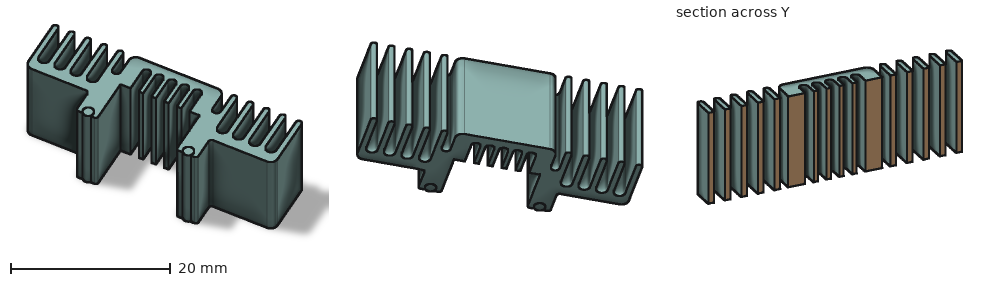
import cadquery as cq
import math

width = 35.2
height = 12.7
depth = 11.6

fin_count = 5
fin_width = 0.8
fin_gap = 1.48
fin_pitch = fin_width + fin_gap
fin_gap_depth = 6.37
wing_depth = 7.9
corner_radius = 1.0

bridge_slot_width = 1.13
bridge_slot_depth = 3.75

inner_slot_count = 5
inner_slot_width = 1.15
inner_slot_pitch = 1.8
inner_slot_top_depth = 1.23
ceiling_depth = 5.0

leg_width = 3.0
leg_depth = 11.4
leg_corner_radius = 0.4
leg_root_radius = 0.4
pin_diameter = 1.45
groove_lip_radius = 0.07

half_width = width / 2
fin_radius = fin_width / 2
fin_tip_y = -fin_radius
fin_centers = [half_width - fin_radius - i * fin_pitch for i in range(fin_count)]
gap_centers = [x - fin_pitch / 2 for x in fin_centers[:-1]]
bridge_slot_outer_x = fin_centers[-1] - fin_radius
leg_x = bridge_slot_outer_x - bridge_slot_width / 2
leg_outer_x = leg_x + leg_width / 2
leg_inner_x = leg_x - leg_width / 2
bridge_half_width = bridge_slot_outer_x - bridge_slot_width
pin_radius = pin_diameter / 2
pin_y = pin_radius - depth
groove_half_mouth = math.sqrt(pin_radius**2 - (leg_depth + pin_y) ** 2)
sides = (-1, 1)


def block(x_min, x_max, y_min, y_max):
    """Full-height block between two X and two Y planes."""
    return (
        cq.Workplane("XY")
        .center((x_min + x_max) / 2, (y_min + y_max) / 2)
        .rect(x_max - x_min, y_max - y_min)
        .extrude(height)
    )


def rod(x, y, radius):
    """Full-height round rod."""
    return cq.Workplane("XY").center(x, y).circle(radius).extrude(height)


def round_slot(x, slot_width, floor_y, mouth_y):
    """Cutter for a slot with a round floor, open at mouth_y."""
    radius = slot_width / 2
    center_y = floor_y + radius if mouth_y > floor_y else floor_y - radius
    channel = block(x - radius, x + radius, min(center_y, mouth_y), max(center_y, mouth_y))
    return channel.union(rod(x, center_y, radius))


def round_edges(body, points, radius):
    """Fillet the upright edges that stand at the given XY points."""
    for side in sides:
        for x, y in points:
            nearest = cq.selectors.NearestToPointSelector((side * x, y, height / 2))
            body = body.edges("|Z").edges(nearest).fillet(radius)
    return body


def make_blank():
    """Wings, bridge and legs with rounded corners, before any slot is cut."""
    blank = block(-half_width, half_width, -wing_depth, fin_tip_y)
    blank = blank.union(block(-bridge_half_width, bridge_half_width, -ceiling_depth, 0))
    blank = blank.union(block(-leg_outer_x, leg_outer_x, -leg_depth, -ceiling_depth))
    blank = blank.cut(block(-leg_inner_x, leg_inner_x, -leg_depth, -ceiling_depth))
    blank = round_edges(blank, [(half_width, -wing_depth)], corner_radius)
    blank = round_edges(blank, [(leg_outer_x, -wing_depth)], leg_root_radius)
    leg_corners = [(leg_outer_x, -leg_depth), (leg_inner_x, -leg_depth)]
    return round_edges(blank, leg_corners, leg_corner_radius)


def make_heat_sink():
    """Finned heat sink with a round-lipped groove for a pin in the end of each leg."""
    body = make_blank()
    for side in sides:
        for x in gap_centers:
            body = body.cut(round_slot(side * x, fin_gap, -fin_gap_depth, 0))
        body = body.cut(round_slot(side * leg_x, bridge_slot_width, -bridge_slot_depth, 0))
        for x in fin_centers:
            body = body.union(rod(side * x, fin_tip_y, fin_radius))
        body = body.cut(rod(side * leg_x, pin_y, pin_radius))
    groove_lips = [(leg_x + offset * groove_half_mouth, -leg_depth) for offset in sides]
    body = round_edges(body, groove_lips, groove_lip_radius)
    body = round_edges(body, [(bridge_half_width, 0)], corner_radius)
    for i in range(inner_slot_count):
        x = (i - (inner_slot_count - 1) / 2) * inner_slot_pitch
        body = body.cut(round_slot(x, inner_slot_width, -inner_slot_top_depth, -ceiling_depth))
    return body


def make_pin(side):
    """Round pin seated in the end of one leg."""
    return rod(side * leg_x, pin_y, pin_radius)


heat_sink = make_heat_sink()
pins = [make_pin(side) for side in sides]

result = cq.Compound.makeCompound([heat_sink.solids().val(), *[pin.val() for pin in pins]])